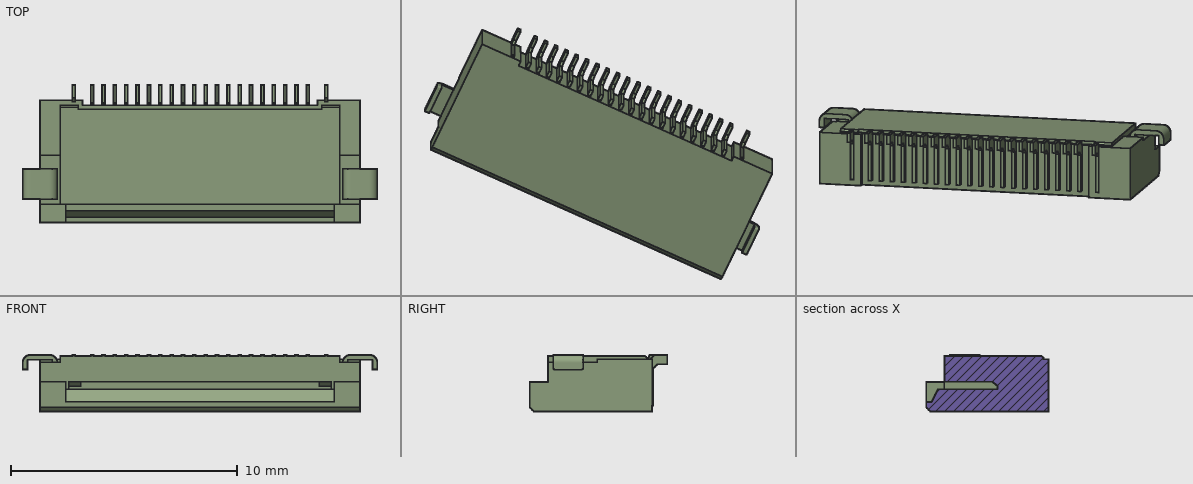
import cadquery as cq


OVERALL_WIDTH = 15.64
OVERALL_DEPTH = 6.07
OVERALL_HEIGHT = 2.5
HOUSING_WIDTH = 14.1
HOUSING_DEPTH = 5.4
COVER_HEIGHT = 2.45
FRONT_CHAMFER = 0.19

LIP_Y = 0.8
SILL_HEIGHT = 1.31
COVER_WIDTH = 12.32
FRONT_WING_HEIGHT = 2.17
REAR_WING_HEIGHT = 2.31
WING_STEP_Y = 2.97
COVER_REAR_Y = 5.18
COVER_REAR_CHAMFER = 0.1
COVER_NOTCH_WIDTH = 10.73
COVER_NOTCH_Y = 4.99
PIN_RECESS_WIDTH = 10.35
PIN_RECESS_Y = COVER_REAR_Y

MOUTH_WIDTH = 11.85
LEDGE_HEIGHT = 0.42
LEDGE_DEPTH = 0.23
RAMP_END_Y = 0.52
CABLE_FLOOR_HEIGHT = 0.99
CAVITY_WIDTH = 11.57
CAVITY_DEPTH = 2.35
WEDGE_WIDTH = 0.53
WEDGE_HEIGHT = 0.19
WEDGE_DEPTH = 0.23

TAB_FRONT_Y = 1.03
TAB_LENGTH = 1.33
TAB_THICKNESS = 0.22
TAB_BEND_RADIUS = 0.35
TAB_INNER_X = 6.29
TAB_DROP = 0.65
TAB_CORNER_RADIUS = 0.1

PIN_WIDTH = 0.14
SIGNAL_PIN_COUNT = 20
SIGNAL_PIN_PITCH = 0.5
OUTER_PIN_X = 5.57
PIN_BOTTOM = 2.08
SIGNAL_TOP_FRONT_Y = 5.29
SIGNAL_KNEE_Y = 5.24
SIGNAL_KNEE_HEIGHT = 2.38
OUTER_TOP_FRONT_Y = 5.5
OUTER_LEG_FRONT_Y = 5.32
LEG_REAR_Y = 5.45
LEG_BOTTOM = 0.27
LEG_BEND = 0.19


def block(width, y_range, z_range, x_center=0.0):
    """Box of the given width centred on x_center, between two Y and two Z values."""
    y_low, y_high = y_range
    z_low, z_high = z_range
    return (
        cq.Workplane("XY")
        .box(width, y_high - y_low, z_high - z_low, centered=(True, False, False))
        .translate((x_center, y_low, z_low))
    )


def side_prism(points, width, x_center=0.0):
    """Prism along X with a (Y, Z) outline, centred on x_center."""
    outline = cq.Workplane("YZ").polyline(points).close()
    return outline.extrude(width / 2, both=True).translate((x_center, 0, 0))


def make_housing():
    """Stepped wings, raised cover and front sill."""
    wings = side_prism(
        [
            (FRONT_CHAMFER, 0),
            (HOUSING_DEPTH, 0),
            (HOUSING_DEPTH, REAR_WING_HEIGHT),
            (WING_STEP_Y, REAR_WING_HEIGHT),
            (WING_STEP_Y, FRONT_WING_HEIGHT),
            (LIP_Y, FRONT_WING_HEIGHT),
            (LIP_Y, SILL_HEIGHT),
            (0, SILL_HEIGHT),
            (0, FRONT_CHAMFER),
        ],
        HOUSING_WIDTH,
    )
    cover = block(COVER_WIDTH, (LIP_Y, COVER_REAR_Y), (SILL_HEIGHT, COVER_HEIGHT))
    cover = cover.faces(">Y").edges(">Z").chamfer(COVER_REAR_CHAMFER)
    cover_notch = block(
        COVER_NOTCH_WIDTH, (COVER_NOTCH_Y, HOUSING_DEPTH), (REAR_WING_HEIGHT, COVER_HEIGHT)
    )
    pin_recess = block(PIN_RECESS_WIDTH, (PIN_RECESS_Y, HOUSING_DEPTH), (0, COVER_HEIGHT))
    return wings.union(cover).cut(cover_notch).cut(pin_recess)


def make_cable_opening():
    """Material removed for the ramped mouth and the cavity behind the lip."""
    mouth = side_prism(
        [
            (0, LEDGE_HEIGHT),
            (LEDGE_DEPTH, LEDGE_HEIGHT),
            (RAMP_END_Y, CABLE_FLOOR_HEIGHT),
            (LIP_Y, CABLE_FLOOR_HEIGHT),
            (LIP_Y, SILL_HEIGHT),
            (0, SILL_HEIGHT),
        ],
        MOUTH_WIDTH,
    )
    cavity_rear_y = LIP_Y + CAVITY_DEPTH
    cavity = block(CAVITY_WIDTH, (LIP_Y, cavity_rear_y), (CABLE_FLOOR_HEIGHT, SILL_HEIGHT))
    opening = mouth.union(cavity)
    for side in (-1, 1):
        wedge = side_prism(
            [
                (cavity_rear_y, SILL_HEIGHT),
                (cavity_rear_y - WEDGE_DEPTH, SILL_HEIGHT),
                (cavity_rear_y, SILL_HEIGHT - WEDGE_HEIGHT),
            ],
            WEDGE_WIDTH,
            side * (CAVITY_WIDTH - WEDGE_WIDTH) / 2,
        )
        opening = opening.cut(wedge)
    return opening


def make_tab():
    """Hold-down tab on the +X side: bent down at the outer end, curled into the wing."""
    outer_x = OVERALL_WIDTH / 2
    underside = OVERALL_HEIGHT - TAB_THICKNESS
    leg_bottom = OVERALL_HEIGHT - TAB_DROP
    root_x = TAB_INNER_X + TAB_THICKNESS
    leg_x = outer_x - TAB_THICKNESS
    root_z = OVERALL_HEIGHT - TAB_BEND_RADIUS - TAB_THICKNESS
    tab = (
        cq.Workplane("XZ")
        .moveTo(TAB_INNER_X, root_z)
        .lineTo(TAB_INNER_X, OVERALL_HEIGHT - TAB_BEND_RADIUS)
        .radiusArc((TAB_INNER_X + TAB_BEND_RADIUS, OVERALL_HEIGHT), TAB_BEND_RADIUS)
        .lineTo(outer_x - TAB_BEND_RADIUS, OVERALL_HEIGHT)
        .radiusArc((outer_x, OVERALL_HEIGHT - TAB_BEND_RADIUS), TAB_BEND_RADIUS)
        .lineTo(outer_x, leg_bottom)
        .lineTo(leg_x, leg_bottom)
        .lineTo(leg_x, underside)
        .lineTo(root_x, underside)
        .lineTo(root_x, root_z)
        .close()
        .extrude(-TAB_LENGTH)
        .translate((0, TAB_FRONT_Y, 0))
    )
    leg_corners = cq.selectors.BoxSelector(
        (leg_x - TAB_THICKNESS, 0, leg_bottom - TAB_THICKNESS),
        (outer_x + TAB_THICKNESS, HOUSING_DEPTH, leg_bottom + TAB_THICKNESS / 2),
    )
    return tab.edges("|X").edges(leg_corners).fillet(TAB_CORNER_RADIUS)


def make_pin(x_center, shoulder):
    """Pin with a leg down the housing rear; shoulder lists its (Y, Z) front points from the top."""
    leg_front_y = shoulder[-1][0]
    return side_prism(
        shoulder
        + [
            (leg_front_y, LEG_BOTTOM),
            (LEG_REAR_Y, LEG_BOTTOM),
            (LEG_REAR_Y, PIN_BOTTOM - LEG_BEND),
            (LEG_REAR_Y + LEG_BEND, PIN_BOTTOM),
            (OVERALL_DEPTH, PIN_BOTTOM),
            (OVERALL_DEPTH, OVERALL_HEIGHT),
        ],
        PIN_WIDTH,
        x_center,
    )


SIGNAL_SHOULDER = [
    (SIGNAL_TOP_FRONT_Y, OVERALL_HEIGHT),
    (SIGNAL_KNEE_Y, SIGNAL_KNEE_HEIGHT),
    (PIN_RECESS_Y, REAR_WING_HEIGHT),
]
OUTER_SHOULDER = [
    (OUTER_TOP_FRONT_Y, OVERALL_HEIGHT),
    (OUTER_LEG_FRONT_Y, REAR_WING_HEIGHT),
]

result = make_housing().cut(make_cable_opening())

right_tab = make_tab()
result = result.union(right_tab).union(right_tab.mirror("YZ"))

for index in range(SIGNAL_PIN_COUNT):
    pin_x = (index - (SIGNAL_PIN_COUNT - 1) / 2) * SIGNAL_PIN_PITCH
    result = result.union(make_pin(pin_x, SIGNAL_SHOULDER))

for side in (-1, 1):
    result = result.union(make_pin(side * OUTER_PIN_X, OUTER_SHOULDER))